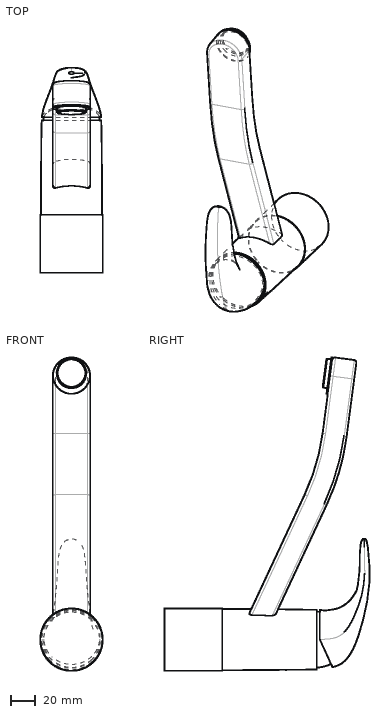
import cadquery as cq
import math


overall_height = 254.7

base_diameter = 51.0
base_length = 47.0
body_rear_diameter = 50.0
body_middle_diameter = 49.7
body_front_diameter = 48.7
body_end = 123.8

neck_radius = 23.0
neck_tip_radius = 19.9
neck_length = 11.7
neck_bulge_radius = 22.0

arm_width = 30.5
arm_thickness = 19.9
arm_edge_fillet = 2.3
lower_lean = 25.0
upper_lean = 7.5
bend_center_y = -40.8
bend_center_z = 190.0
bend_inner_radius = 170.7
lower_length = 107.0

flange_diameter = 29.8
flange_height = 1.0
outlet_diameter = 24.0
outlet_height = 4.8
outlet_offset = 1.5
outlet_chamfer = 0.8

upper_angle = math.radians(upper_lean)
top_z = overall_height - base_diameter / 2
flange_rise = flange_diameter / 2 * math.cos(upper_angle) + flange_height * math.sin(upper_angle)
upper_bend_end_z = bend_center_z - bend_inner_radius * math.sin(upper_angle)
upper_length = (top_z - flange_rise - upper_bend_end_z) / math.cos(upper_angle)

lever_start = 126.4
lever_radius = 24.2
lever_sections = [
    ((132.5, 24.2), (136.5, -22.5), 22.5),
    ((141.5, 25.7), (148.3, -15.5), 18.5),
    ((148.3, 29.8), (157.7, 3.0), 15.5),
    ((156.5, 42.0), (165.8, 38.0), 12.7),
    ((158.2, 52.2), (166.9, 52.2), 11.7),
    ((158.7, 70.8), (165.8, 70.8), 10.2),
    ((159.5, 78.2), (164.8, 78.2), 7.5),
    ((161.3, 81.8), (163.3, 81.8), 2.0),
]
undercut_bottom_y = 139.0
undercut_bottom_z = -28.0


def make_body():
    """Inlet cylinder, tapered body and rounded neck, turned about the Y axis."""
    body_middle_y = (base_length + body_end) / 2
    neck_end = body_end + neck_length
    neck_middle_y = body_end + neck_length / 2
    return (
        cq.Workplane("XY")
        .lineTo(base_diameter / 2, 0)
        .lineTo(base_diameter / 2, base_length)
        .lineTo(body_rear_diameter / 2, base_length)
        .threePointArc((body_middle_diameter / 2, body_middle_y), (body_front_diameter / 2, body_end))
        .lineTo(neck_radius, body_end)
        .threePointArc((neck_bulge_radius, neck_middle_y), (neck_tip_radius, neck_end))
        .lineTo(0, neck_end)
        .close()
        .revolve(360, (0, 0, 0), (0, 1, 0))
    )


def arm_point(radius, lean, along=0.0):
    """Point (y, z) on the bend at a lean angle, moved along the tangent there."""
    angle = math.radians(lean)
    y = bend_center_y + radius * math.cos(angle) + along * math.sin(angle)
    z = bend_center_z - radius * math.sin(angle) + along * math.cos(angle)
    return (y, z)


def make_arm():
    """Bent bar with a round head and rounded long edges."""
    inner = bend_inner_radius
    outer = bend_inner_radius + arm_thickness
    middle_lean = (lower_lean + upper_lean) / 2
    bar = (
        cq.Workplane("YZ")
        .moveTo(*arm_point(inner, lower_lean, -lower_length))
        .lineTo(*arm_point(inner, lower_lean))
        .threePointArc(arm_point(inner, middle_lean), arm_point(inner, upper_lean))
        .lineTo(*arm_point(inner, upper_lean, upper_length))
        .lineTo(*arm_point(outer, upper_lean, upper_length))
        .lineTo(*arm_point(outer, upper_lean))
        .threePointArc(arm_point(outer, middle_lean), arm_point(outer, lower_lean))
        .lineTo(*arm_point(outer, lower_lean, -lower_length))
        .close()
        .extrude(arm_width / 2, both=True)
    )
    head = cq.Workplane(head_plane()).circle(arm_width / 2).extrude(-arm_thickness)
    arm = bar.union(head)
    rim_edges = arm.faces("<X or >X").edges("not(|X)").edges("not(<Z)")
    return rim_edges.fillet(arm_edge_fillet)


def head_plane():
    """Plane of the head's front face, facing the outlet side."""
    y, z = arm_point(bend_inner_radius, upper_lean, upper_length)
    outward = (0, -math.cos(upper_angle), math.sin(upper_angle))
    return cq.Plane(origin=(0, y, z), xDir=(1, 0, 0), normal=outward)


def make_outlet():
    """Thin flange and chamfered outlet disc on the head."""
    flange = cq.Workplane(head_plane()).circle(flange_diameter / 2).extrude(flange_height)
    disc = (
        cq.Workplane(head_plane())
        .center(0, outlet_offset)
        .circle(outlet_diameter / 2)
        .extrude(outlet_height)
        .faces("<Y")
        .chamfer(outlet_chamfer)
    )
    return flange.union(disc)


def lever_wire(inner, outer, half_width):
    """Elliptic cross-section spanning the inner and outer points."""
    rise_y = inner[0] - outer[0]
    rise_z = inner[1] - outer[1]
    origin = (0, (inner[0] + outer[0]) / 2, (inner[1] + outer[1]) / 2)
    plane = cq.Plane(origin=origin, xDir=(1, 0, 0), normal=(0, rise_z, -rise_y))
    half_depth = math.hypot(rise_y, rise_z) / 2
    return cq.Workplane(plane).ellipse(half_width, half_depth).wires().val()


def make_lever():
    """Lever lofted from the round neck to the thin tip, with its heel cut back."""
    start = lever_wire((lever_start, lever_radius), (lever_start, -lever_radius), lever_radius)
    wires = [start] + [lever_wire(*section) for section in lever_sections]
    lever = cq.Workplane(cq.Solid.makeLoft(wires))
    undercut = (
        cq.Workplane("YZ")
        .moveTo(lever_start, 0)
        .lineTo(undercut_bottom_y, undercut_bottom_z)
        .lineTo(lever_start, undercut_bottom_z)
        .close()
        .extrude(base_diameter / 2, both=True)
    )
    return lever.cut(undercut)


result = make_body().union(make_arm()).union(make_outlet()).union(make_lever())